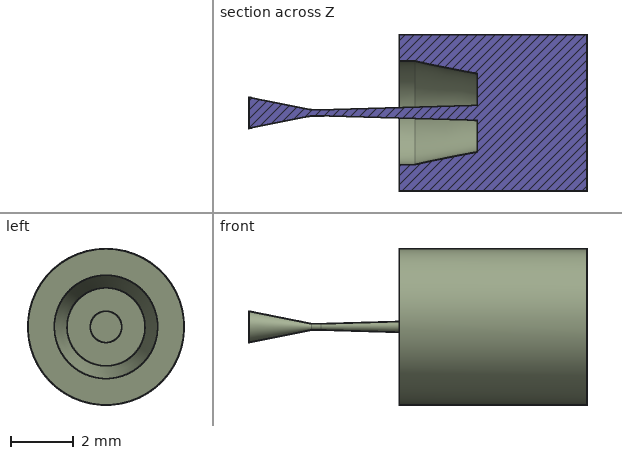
import cadquery as cq

total_length = 10.8
body_length = 6.0
body_diameter = 5.0

mouth_diameter = 3.3
mouth_depth = 0.5
floor_diameter = 2.5
bore_depth = 2.5

tip_diameter = 1.0
tip_length = 2.0
neck_diameter = 0.2
neck_length = 0.3
stem_base_diameter = 0.5

body_front = total_length - body_length
mouth_end = body_front + mouth_depth
floor_x = body_front + bore_depth
neck_end = tip_length + neck_length

half_section = [
    (0, 0),
    (0, tip_diameter / 2),
    (tip_length, neck_diameter / 2),
    (neck_end, neck_diameter / 2),
    (floor_x, stem_base_diameter / 2),
    (floor_x, floor_diameter / 2),
    (mouth_end, mouth_diameter / 2),
    (body_front, mouth_diameter / 2),
    (body_front, body_diameter / 2),
    (total_length, body_diameter / 2),
    (total_length, 0),
]

result = (
    cq.Workplane("XZ")
    .polyline(half_section)
    .close()
    .revolve(360, (0, 0, 0), (1, 0, 0))
)